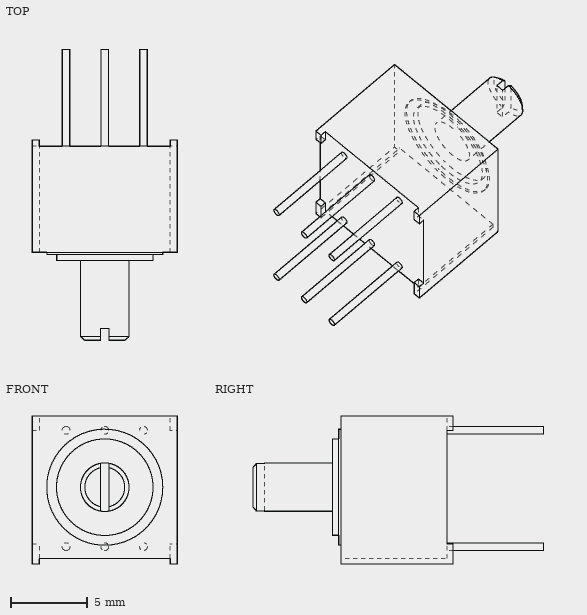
import cadquery as cq

overall_length = 19.1

body_width = 9.53
body_height = 9.38
rail_width = 0.48
rail_height = 0.36
foot_height = 0.97
foot_depth = 0.4

flange_diameter = 7.62
flange_thickness = 0.15
collar_diameter = 6.35
collar_thickness = 0.4
shaft_diameter = 3.19
shaft_length = 5.23
tip_chamfer_length = 0.25
tip_chamfer_radial = 0.29
slot_width = 0.53
slot_depth = 0.78

pin_diameter = 0.52
pin_pitch = 2.54
pin_row_spacing = 7.64
pin_top_inset = 0.95
pin_projection = 5.94
pin_columns = 3

front_projection = flange_thickness + collar_thickness + shaft_length
tip_y = -front_projection
pin_end_y = overall_length - front_projection
feet_rear_y = pin_end_y - pin_projection
body_rear_y = feet_rear_y - foot_depth
body_top_z = body_height / 2
rail_bottom_z = -body_height / 2 - rail_height
pin_center_z = body_top_z - pin_top_inset - pin_row_spacing / 2


def block(x_min, x_max, y_min, y_max, z_min, z_max):
    """Axis-aligned box between opposite corners."""
    size = (x_max - x_min, y_max - y_min, z_max - z_min)
    return cq.Workplane("XY").box(*size, centered=False).translate((x_min, y_min, z_min))


def cylinder(diameter, y_start, y_end, x=0, z=0):
    """Round bar along Y."""
    start = cq.Workplane("XZ", origin=(x, y_start, z))
    return start.circle(diameter / 2).extrude(y_start - y_end)


def make_housing():
    """Block with a channel under it and a standing foot at each rear corner."""
    half_width = body_width / 2
    inner_x = half_width - rail_width
    envelope = block(-half_width, half_width, 0, feet_rear_y, rail_bottom_z, body_top_z)
    channel = block(-inner_x, inner_x, 0, feet_rear_y, rail_bottom_z, -body_height / 2)
    gap_between_sides = block(-inner_x, inner_x, body_rear_y, feet_rear_y, rail_bottom_z, body_top_z)
    gap_between_rows = block(
        -half_width, half_width, body_rear_y, feet_rear_y,
        -body_height / 2 + foot_height, body_top_z - foot_height,
    )
    return envelope.cut(channel).cut(gap_between_sides).cut(gap_between_rows)


def make_shaft():
    """Collar steps and shaft turned about Y, with a screwdriver slot across the tip."""
    flange_y = -flange_thickness
    collar_y = flange_y - collar_thickness
    shaft_radius = shaft_diameter / 2
    flange = cylinder(flange_diameter, 0, flange_y)
    collar = cylinder(collar_diameter, flange_y, collar_y)
    shaft = (
        cq.Workplane("XY")
        .moveTo(0, collar_y)
        .lineTo(shaft_radius, collar_y)
        .lineTo(shaft_radius, tip_y + tip_chamfer_length)
        .lineTo(shaft_radius - tip_chamfer_radial, tip_y)
        .lineTo(0, tip_y)
        .close()
        .revolve(360, (0, 0, 0), (0, 1, 0))
    )
    slot = block(
        -slot_width / 2, slot_width / 2, tip_y, tip_y + slot_depth, -shaft_radius, shaft_radius
    )
    return flange.union(collar).union(shaft.cut(slot))


result = make_housing().union(make_shaft())
for row_side in (-1, 1):
    for column in range(pin_columns):
        pin_x = (column - (pin_columns - 1) / 2) * pin_pitch
        pin_z = pin_center_z + row_side * pin_row_spacing / 2
        result = result.union(cylinder(pin_diameter, body_rear_y, pin_end_y, pin_x, pin_z))